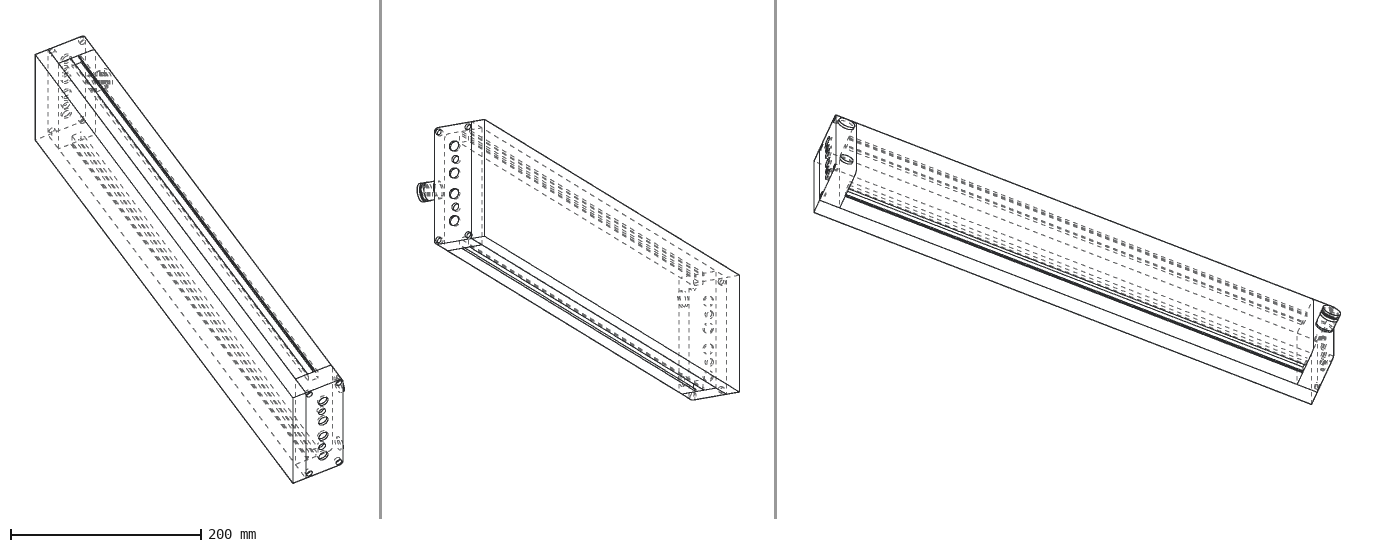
import cadquery as cq


length = 568.0
height = 130.0
panel_depth = 15.5
back_y = 60.0
cap_width = 23.0
back_radius = 5.0
housing_length = length - 2 * cap_width

mouth_back_y = 39.5
mouth_front_y = 31.4
ledge_width = 1.3
lip_thickness = 2.5
lip_overhang = 3.0
groove_depth = 12.0

port_diameter = 11.0
port_depth = 2.7
port_y = 36.5
port_spacing = 30.0
pilot_diameter = 8.0
pilot_depth = 3.7
pilot_y = 35.0
group_z = 26.5
screw_diameter = 6.5
screw_depth = 4.0
screw_ys = (20.0, 55.0)
screw_z = 60.0

fitting_inset = 11.2
plug_diameter = 18.0
plug_z = 45.0
small_plug_diameter = 14.0
plug_height = 2.8

connector_steps = (
    (19.0, 1.8),
    (19.5, 11.4),
    (20.0, 3.0),
    (16.5, 2.0),
    (20.0, 3.0),
)


def rounded_block(x_start, x_end):
    """Block behind the panel with its two long back edges rounded."""
    block = cq.Workplane("XY").box(
        x_end - x_start, back_y - panel_depth, height, centered=(False, False, True)
    )
    block = block.translate((x_start, panel_depth, 0))
    return block.edges("|X and >Y").fillet(back_radius)


def cylinder_on_back(x, z, start_y, diameter, depth):
    """Cylinder along +Y that starts at start_y."""
    axis_start = cq.Vector(x, start_y, z)
    return cq.Workplane(cq.Solid.makeCylinder(diameter / 2, depth, axis_start, cq.Vector(0, 1, 0)))


def make_panel():
    return cq.Workplane("XY").box(length, panel_depth, height, centered=(True, False, True))


def groove_cutter(side):
    """Slot undercut behind a lip at its back and stepped by a ledge at its front.

    side is +1 for the top face and -1 for the bottom face.
    """
    face_z = side * height / 2
    lip_z = face_z - side * lip_thickness
    floor_z = face_z - side * groove_depth
    profile = [
        (mouth_back_y, face_z),
        (mouth_back_y, lip_z),
        (mouth_back_y + lip_overhang, lip_z),
        (mouth_back_y + lip_overhang, floor_z),
        (mouth_front_y, floor_z),
        (mouth_front_y, lip_z),
        (mouth_front_y - ledge_width, lip_z),
        (mouth_front_y - ledge_width, face_z),
    ]
    return cq.Workplane("YZ").polyline(profile).close().extrude(housing_length / 2, both=True)


def make_housing():
    housing = rounded_block(-housing_length / 2, housing_length / 2)
    for side in (1, -1):
        housing = housing.cut(groove_cutter(side))
    return housing


def recess_places():
    """(y, z, diameter, depth) of every round recess in the end face of a cap."""
    places = []
    for side in (1, -1):
        places.append((pilot_y, side * group_z, pilot_diameter, pilot_depth))
        for step in (-1, 1):
            places.append((port_y, side * group_z + step * port_spacing / 2, port_diameter, port_depth))
        for screw_y in screw_ys:
            places.append((screw_y, side * screw_z, screw_diameter, screw_depth))
    return places


def make_cap(end):
    """End cap with its recesses; end is -1 for the left cap, +1 for the right cap."""
    outer_x = end * length / 2
    inner_x = end * housing_length / 2
    cap = rounded_block(min(outer_x, inner_x), max(outer_x, inner_x))
    inward = cq.Vector(-end, 0, 0)
    for y, z, diameter, depth in recess_places():
        start = cq.Vector(outer_x, y, z)
        cap = cap.cut(cq.Workplane(cq.Solid.makeCylinder(diameter / 2, depth, start, inward)))
    return cap


def make_left_cap():
    cap = make_cap(-1)
    x = -length / 2 + fitting_inset
    y = back_y
    for diameter, step_length in connector_steps:
        cap = cap.union(cylinder_on_back(x, 0, y, diameter, step_length))
        y += step_length
    return cap


def make_right_cap():
    cap = make_cap(1)
    x = length / 2 - fitting_inset
    cap = cap.union(cylinder_on_back(x, plug_z, back_y, plug_diameter, plug_height))
    cap = cap.union(cylinder_on_back(x, -plug_z, back_y, small_plug_diameter, plug_height))
    return cap


panel = make_panel()
housing = make_housing()
left_cap = make_left_cap()
right_cap = make_right_cap()

result = cq.Compound.makeCompound(
    [panel.val(), housing.val(), left_cap.val(), right_cap.val()]
)